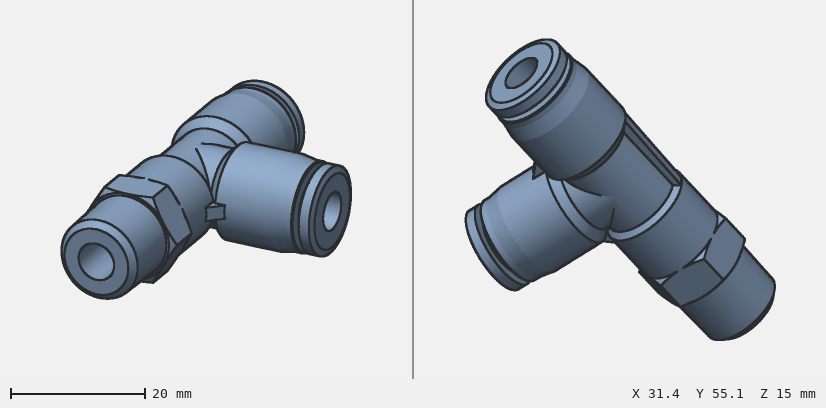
import cadquery as cq
import math


bore_radius = 3.0

waist_radius = 6.1
body_radius = 7.5
shoulder_start = 6.0
shoulder_end = body_radius
taper_start = 16.5
taper_end = 18.9
taper_radius = 7.05
collar_end = 20.15
collar_chamfer = 0.15
sleeve_neck_radius = 4.95
ring_start = 21.2
ring_radius = 6.95
ring_bevel_length = 0.4
ring_bevel_depth = 1.1
port_end = 23.3

stem_radius = 7.05
stem_start = 7.0
stem_cone_length = 0.9

hex_start = 15.75
hex_end = 21.75
hex_across_flats = 14.05
hex_corner_radius = hex_across_flats / math.sqrt(3)
hex_bevel_length = 0.6
hex_face_radius = hex_across_flats / 2

thread_root_radius = 6.6
thread_tip_radius = 6.4
thread_chamfer = 1.05
thread_end = 55.1 - port_end

rib_thickness = 2.2
port_gusset_reach = 17.3
stem_gusset_reach = 16.55


def revolve_along_y(profile):
    """Turn a closed (radius, y) profile about the Y axis."""
    return cq.Workplane("XY").polyline(profile).close().revolve(360, (0, 0), (0, 1))


def make_port():
    """Waist, shoulder, body and release ring of a tube port, pointing along +Y."""
    return revolve_along_y([
        (0, 0),
        (waist_radius, 0),
        (waist_radius, shoulder_start),
        (body_radius, shoulder_end),
        (body_radius, taper_start),
        (taper_radius, taper_end),
        (taper_radius, collar_end - collar_chamfer),
        (taper_radius - collar_chamfer, collar_end),
        (sleeve_neck_radius, collar_end),
        (sleeve_neck_radius, ring_start),
        (ring_radius, ring_start),
        (ring_radius, port_end - ring_bevel_length),
        (ring_radius - ring_bevel_depth, port_end),
        (0, port_end),
    ])


def make_stem():
    """Waist, conical step, plain stem and tapered thread blank, pointing along -Y."""
    return revolve_along_y([
        (0, 0),
        (waist_radius, 0),
        (waist_radius, -stem_start + stem_cone_length),
        (stem_radius, -stem_start),
        (stem_radius, -hex_start),
        (thread_root_radius, -hex_end),
        (thread_tip_radius, -thread_end + thread_chamfer),
        (thread_tip_radius - thread_chamfer, -thread_end),
        (0, -thread_end),
    ])


def make_hexagon():
    """Hexagonal prism with its corners bevelled by cones at both ends."""
    prism = (
        cq.Workplane("XZ", origin=(0, -hex_start, 0))
        .polygon(6, 2 * hex_corner_radius)
        .extrude(hex_end - hex_start)
    )
    bevel_envelope = revolve_along_y([
        (0, -hex_start),
        (hex_face_radius, -hex_start),
        (hex_corner_radius, -hex_start - hex_bevel_length),
        (hex_corner_radius, -hex_end + hex_bevel_length),
        (hex_face_radius, -hex_end),
        (0, -hex_end),
    ])
    return prism.intersect(bevel_envelope)


def make_rib(outline):
    """Flat rib with the given (x, y) outline, centred on the XY plane."""
    return cq.Workplane("XY").polyline(outline).close().extrude(rib_thickness / 2, both=True)


def flush_offset(radius):
    """Distance from the axis to a rib face whose edges lie on a cylinder."""
    return math.sqrt(radius**2 - (rib_thickness / 2) ** 2)


port = make_port()
branch_port = port.rotate((0, 0, 0), (0, 0, 1), -90)

back_rib = make_rib([
    (0, shoulder_end),
    (-flush_offset(body_radius), shoulder_end),
    (-flush_offset(stem_radius), -stem_start),
    (0, -stem_start),
])

gussets = make_rib([
    (0, port_gusset_reach),
    (0, -stem_gusset_reach),
    (stem_gusset_reach, 0),
    (port_gusset_reach, 0),
])

body = port.union(branch_port).union(make_stem()).union(make_hexagon())
body = body.union(back_rib).union(gussets)

run_bore = (
    cq.Workplane("XZ", origin=(0, port_end, 0))
    .circle(bore_radius)
    .extrude(port_end + thread_end)
)
branch_bore = cq.Workplane("YZ").circle(bore_radius).extrude(port_end)

result = body.cut(run_bore).cut(branch_bore)